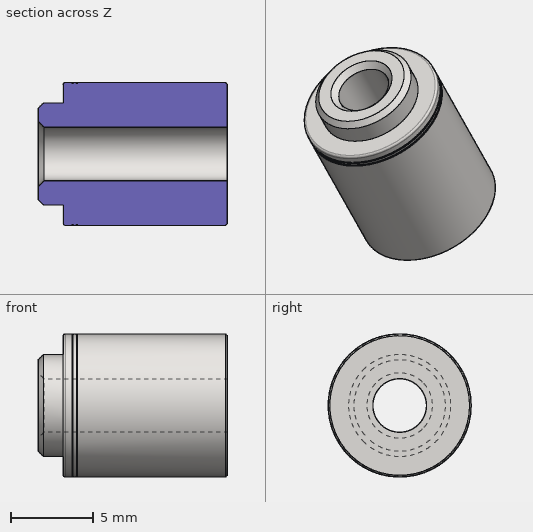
import cadquery as cq

total_length = 11.53
body_diameter = 8.74
shoulder_fillet = 0.14
end_chamfer = 0.12

nose_length = 1.52
nose_diameter = 6.23
nose_chamfer = 0.32

bore_diameter = 3.25
countersink_diameter = 3.99
countersink_depth = (countersink_diameter - bore_diameter) / 2

first_groove_offset = 0.55
groove_count = 2
groove_pitch = 0.25
groove_width = 0.06
groove_depth = 0.06


def cylinder(start, length, diameter):
    """Solid cylinder along +X starting at x = start."""
    return cq.Workplane("YZ", origin=(start, 0, 0)).circle(diameter / 2).extrude(length)


def groove_ring(start):
    """Ring of material that one groove removes."""
    inner = cylinder(start, groove_width, body_diameter - 2 * groove_depth)
    return cylinder(start, groove_width, body_diameter).cut(inner)


body = cylinder(nose_length, total_length - nose_length, body_diameter)
body = body.faces("<X").edges().fillet(shoulder_fillet)
body = body.faces(">X").edges().chamfer(end_chamfer)

nose = cylinder(0, nose_length, nose_diameter).faces("<X").edges().chamfer(nose_chamfer)
result = body.union(nose)

for index in range(groove_count):
    groove_start = nose_length + first_groove_offset + index * groove_pitch
    result = result.cut(groove_ring(groove_start))

result = result.cut(cylinder(0, total_length, bore_diameter))
bore_rim = result.faces("<X").edges(cq.selectors.RadiusNthSelector(0))
result = bore_rim.chamfer(countersink_depth)